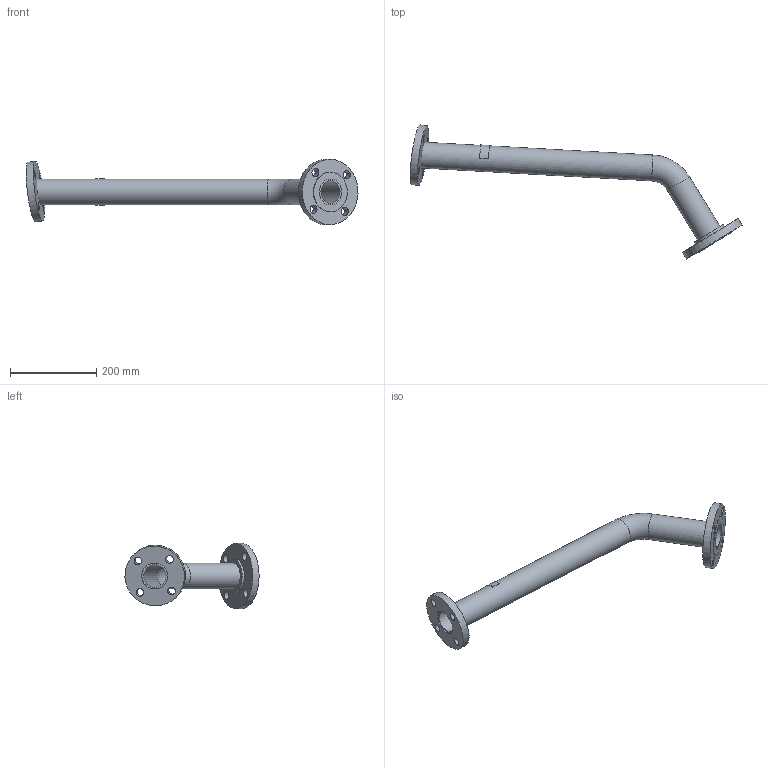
import cadquery as cq
import math

PIPE_OD = 60.3
PIPE_BORE = 52.5
BEND_RADIUS = 76.2
LONG_RUN = 550.6
SHORT_RUN = 160.8
LONG_HEADING = -3.2
SHORT_HEADING = -58.56

INLET_OD = 140.0
INLET_THICKNESS = 17.0
INLET_BOLT_CIRCLE = 105.0
INLET_HOLE = 18.0
INLET_SWING = 8.15
INLET_LEAN = 7.3
INLET_ROLL = 2.5
INLET_SETBACK = 5.3

OUTLET_OD = 152.0
OUTLET_THICKNESS = 19.1
OUTLET_BOLT_CIRCLE = 120.65
OUTLET_HOLE = 19.05
OUTLET_HUB_OD = 78.0
OUTLET_HUB_HEIGHT = 6.0
OUTLET_RAISED_OD = 92.1
OUTLET_RAISED_HEIGHT = 1.6
OUTLET_ROLL = -3.5

HOLE_COUNT = 4
FIRST_HOLE_ANGLE = 45

BAND_START = 149.0
BAND_WIDTH = 20.5
BAND_THICKNESS = 1.0

UP = cq.Vector(0, 0, 1)


def heading(degrees):
    """Unit vector in the XY plane, at an angle from +X."""
    angle = math.radians(degrees)
    return cq.Vector(math.cos(angle), math.sin(angle), 0)


def straight_pipe(start, direction, length):
    section = cq.Plane(origin=start, xDir=UP, normal=direction)
    return cq.Workplane(section).circle(PIPE_OD / 2).circle(PIPE_BORE / 2).extrude(length)


def drilled_plate(face, outer_d, thickness, bolt_circle, hole_d):
    """Round plate with a ring of bolt holes, built backwards from its front face."""
    plate = cq.Workplane(face).circle(outer_d / 2).extrude(-thickness)
    bolt_holes = (
        cq.Workplane(face)
        .polarArray(bolt_circle / 2, FIRST_HOLE_ANGLE, 360, HOLE_COUNT)
        .circle(hole_d / 2)
        .extrude(-thickness)
    )
    return plate.cut(bolt_holes)


def pipe_passage(centre, direction, reach):
    """Solid rod on a pipe axis, reaching both ways, that bores a flange to fit the pipe."""
    section = cq.Plane(origin=centre, xDir=UP, normal=direction)
    return cq.Workplane(section).circle(PIPE_OD / 2).extrude(reach, both=True)


long_direction = heading(LONG_HEADING)
short_direction = heading(SHORT_HEADING)
toward_bend = heading(LONG_HEADING - 90)
inlet_centre = cq.Vector(0, 0, 0)
long_pipe_start = long_direction * INLET_SETBACK
elbow_start = long_direction * LONG_RUN
bend_centre = elbow_start + toward_bend * BEND_RADIUS
elbow_end = bend_centre + heading(SHORT_HEADING + 90) * BEND_RADIUS
outlet_centre = elbow_end + short_direction * SHORT_RUN

long_pipe = straight_pipe(long_pipe_start, long_direction, LONG_RUN - INLET_SETBACK)
short_pipe = straight_pipe(elbow_end, short_direction, SHORT_RUN)

elbow_section = cq.Plane(origin=elbow_start, xDir=toward_bend, normal=long_direction)
elbow = (
    cq.Workplane(elbow_section)
    .circle(PIPE_OD / 2)
    .circle(PIPE_BORE / 2)
    .revolve(LONG_HEADING - SHORT_HEADING, (BEND_RADIUS, 0), (BEND_RADIUS, 1))
)

lean = math.radians(INLET_LEAN)
inlet_normal = heading(180 - INLET_SWING) * math.cos(lean) - UP * math.sin(lean)
inlet_face = cq.Plane(
    origin=inlet_centre, xDir=UP.cross(inlet_normal), normal=inlet_normal
).rotated((0, 0, INLET_ROLL))
inlet_flange = drilled_plate(
    inlet_face, INLET_OD, INLET_THICKNESS, INLET_BOLT_CIRCLE, INLET_HOLE
).cut(pipe_passage(inlet_centre, long_direction, INLET_OD / 2))

shoulder_centre = outlet_centre - short_direction * OUTLET_RAISED_HEIGHT
outlet_shoulder = cq.Plane(
    origin=shoulder_centre, xDir=UP, normal=short_direction
).rotated((0, 0, OUTLET_ROLL))
plate_thickness = OUTLET_THICKNESS - OUTLET_RAISED_HEIGHT
raised_face = (
    cq.Workplane(outlet_shoulder).circle(OUTLET_RAISED_OD / 2).extrude(OUTLET_RAISED_HEIGHT)
)
hub = (
    cq.Workplane(outlet_shoulder)
    .circle(OUTLET_HUB_OD / 2)
    .extrude(-plate_thickness - OUTLET_HUB_HEIGHT)
)
outlet_flange = (
    drilled_plate(outlet_shoulder, OUTLET_OD, plate_thickness, OUTLET_BOLT_CIRCLE, OUTLET_HOLE)
    .union(raised_face)
    .union(hub)
    .cut(pipe_passage(outlet_centre, short_direction, OUTLET_OD / 2))
)

band_inner = PIPE_OD / 2
band_outer = band_inner + BAND_THICKNESS
band_section = cq.Plane(
    origin=long_direction * BAND_START, xDir=heading(LONG_HEADING + 90), normal=long_direction
)
identification_band = (
    cq.Workplane(band_section)
    .moveTo(0, band_inner)
    .lineTo(0, band_outer)
    .threePointArc((band_outer, 0), (0, -band_outer))
    .lineTo(0, -band_inner)
    .threePointArc((band_inner, 0), (0, band_inner))
    .close()
    .extrude(BAND_WIDTH)
)

result = cq.Compound.makeCompound([
    long_pipe.val(),
    elbow.val(),
    short_pipe.val(),
    inlet_flange.val(),
    outlet_flange.val(),
    identification_band.val(),
])